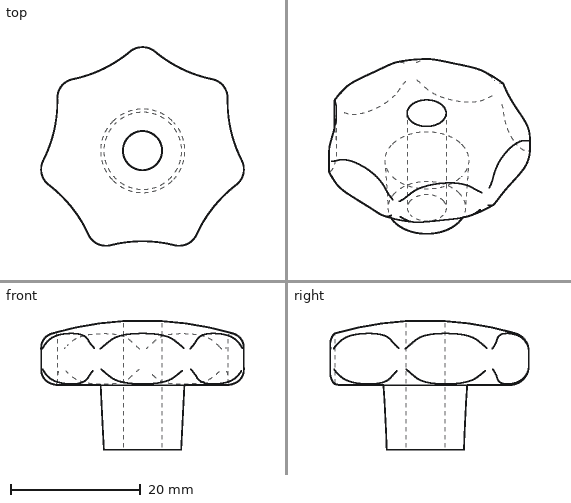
import cadquery as cq
import math

overall_width = 31.35
overall_height = 19.9
lobe_count = 7
lobe_radius = 3.0
scallop_radius = 20.0
edge_radius = 3.0
dome_radius = 50.0
hub_height = 10.0
hub_bottom_radius = 6.0
hub_top_radius = 6.5
bore_radius = 3.0
tip_clearance = 0.003

lobe_pitch = 2 * math.pi / lobe_count
half_pitch = lobe_pitch / 2
lobe_center_radius = (overall_width / 2 - lobe_radius) / math.cos(lobe_pitch / 4)
lobe_tip_radius = lobe_center_radius + lobe_radius
head_radius = lobe_tip_radius + tip_clearance

dome_center_z = overall_height - math.sqrt(dome_radius**2 - bore_radius**2)
dome_apex_z = dome_center_z + dome_radius


def polar(radius, angle):
    return (radius * math.cos(angle), radius * math.sin(angle))


def make_round_head():
    """Turned head: flat underside, rounded rims and a dome tangent to the upper rim."""
    rim_center_x = head_radius - edge_radius
    lower_rim_z = hub_height + edge_radius
    center_gap = dome_radius - edge_radius
    tilt = math.asin(rim_center_x / center_gap)
    upper_rim_z = dome_center_z + center_gap * math.cos(tilt)

    def rim_point(center_z, elevation):
        dx, dz = polar(edge_radius, elevation)
        return (rim_center_x + dx, center_z + dz)

    dome_edge_elevation = math.pi / 2 - tilt
    dome_mid = (
        dome_radius * math.sin(tilt / 2),
        dome_center_z + dome_radius * math.cos(tilt / 2),
    )
    return (
        cq.Workplane("XZ")
        .moveTo(0, hub_height)
        .lineTo(rim_center_x, hub_height)
        .threePointArc(rim_point(lower_rim_z, -math.pi / 4), (head_radius, lower_rim_z))
        .lineTo(head_radius, upper_rim_z)
        .threePointArc(
            rim_point(upper_rim_z, dome_edge_elevation / 2),
            rim_point(upper_rim_z, dome_edge_elevation),
        )
        .threePointArc(dome_mid, (0, dome_apex_z))
        .close()
        .revolve(360, (0, 0), (0, 1))
    )


def make_star_prism():
    """Seven round lobes joined by tangent concave scallops."""
    center_distance = scallop_radius + lobe_radius
    across = lobe_center_radius * math.sin(half_pitch)
    scallop_center_radius = lobe_center_radius * math.cos(half_pitch) + math.sqrt(
        center_distance**2 - across**2
    )
    scallop_floor_radius = scallop_center_radius - scallop_radius

    half_spread = math.asin(across / center_distance)
    tangent_along = scallop_center_radius - scallop_radius * math.cos(half_spread)
    tangent_across = scallop_radius * math.sin(half_spread)
    tangent_radius = math.hypot(tangent_along, tangent_across)
    tangent_angle = math.atan2(tangent_across, tangent_along)

    lobe_half_angle = half_pitch - tangent_angle
    outline = cq.Workplane("XY").moveTo(*polar(tangent_radius, math.pi / 2 - lobe_half_angle))
    for index in range(lobe_count):
        lobe_angle = math.pi / 2 + index * lobe_pitch
        scallop_angle = lobe_angle + half_pitch
        outline = outline.threePointArc(
            polar(lobe_tip_radius, lobe_angle),
            polar(tangent_radius, lobe_angle + lobe_half_angle),
        ).threePointArc(
            polar(scallop_floor_radius, scallop_angle),
            polar(tangent_radius, scallop_angle + tangent_angle),
        )
    return outline.close().extrude(dome_apex_z)


def make_hub():
    """Tapered hub, widest where it meets the head."""
    return (
        cq.Workplane("XY")
        .circle(hub_bottom_radius)
        .workplane(offset=hub_height)
        .circle(hub_top_radius)
        .loft(ruled=True)
    )


head = make_round_head().intersect(make_star_prism())
bore = cq.Workplane("XY").circle(bore_radius).extrude(dome_apex_z)
result = head.union(make_hub()).cut(bore)